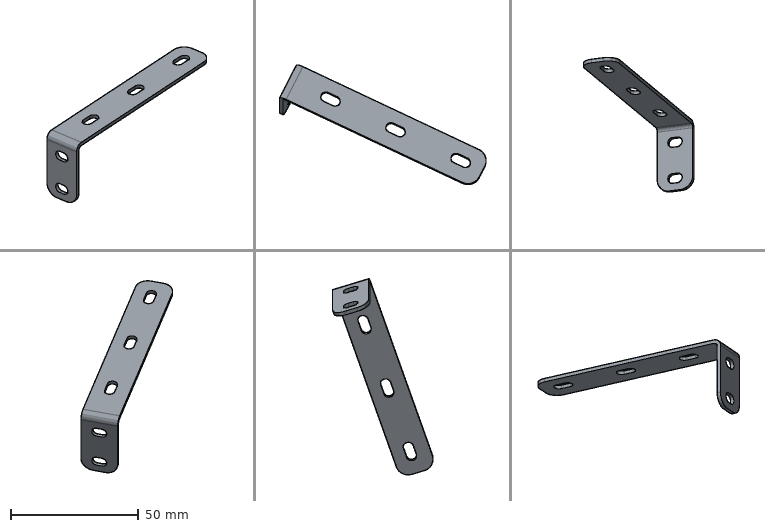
import cadquery as cq

length = 85.0
width = 15.0
height = 28.0
thickness = 1.5
bend_radius = 3.0
corner_radius = 5.0

slot_width = 4.0
long_leg_slot_length = 8.0
long_leg_slot_offset = -0.3
long_leg_slot_end_distance = 9.5
long_leg_slot_pitch = 28.5
long_leg_slot_count = 3

short_leg_slot_length = 6.0
short_leg_slot_end_distance = 5.0
short_leg_slot_pitch = 15.0
short_leg_slot_count = 2


def bent_strip():
    """L-shaped strip with its outer bend corner at Y = 0, Z = 0."""
    profile = (
        cq.Workplane("YZ")
        .polyline([
            (0, 0),
            (length, 0),
            (length, -thickness),
            (thickness, -thickness),
            (thickness, -height),
            (0, -height),
        ])
        .close()
    )
    strip = profile.extrude(width / 2, both=True)
    strip = strip.edges("|X and <Y and >Z").fillet(bend_radius)
    inner_corner = cq.selectors.NearestToPointSelector((0, thickness, -thickness))
    return strip.edges("|X").edges(inner_corner).fillet(bend_radius - thickness)


def long_leg_slots():
    """Slots through the long leg, elongated along Y."""
    centres = [
        (long_leg_slot_offset, length - long_leg_slot_end_distance - i * long_leg_slot_pitch)
        for i in range(long_leg_slot_count)
    ]
    return (
        cq.Workplane("XY")
        .pushPoints(centres)
        .slot2D(long_leg_slot_length, slot_width, 90)
        .extrude(-thickness)
    )


def short_leg_slots():
    """Slots through the short leg, elongated along X."""
    centres = [
        (0, -height + short_leg_slot_end_distance + i * short_leg_slot_pitch)
        for i in range(short_leg_slot_count)
    ]
    return (
        cq.Workplane("XZ")
        .pushPoints(centres)
        .slot2D(short_leg_slot_length, slot_width)
        .extrude(-thickness)
    )


bracket = bent_strip()
bracket = bracket.edges("|Z and >Y").fillet(corner_radius)
bracket = bracket.edges("|Y and <Z").fillet(corner_radius)
result = bracket.cut(long_leg_slots()).cut(short_leg_slots())